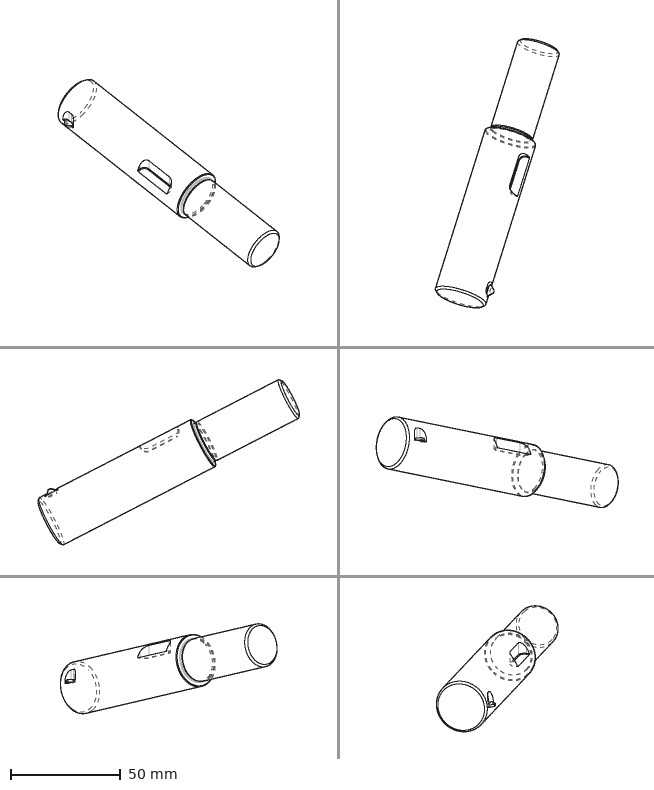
import cadquery as cq

total_length = 125.0
body_length = 80.0
body_radius = 24.2 / 2
body_front_chamfer = 1.0
body_rear_chamfer = 0.4

shank_radius = 20.0 / 2
shank_chamfer = 1.0
relief_radius = 19.6 / 2
relief_length = 1.8
relief_root_radius = 0.4
relief_taper_length = 0.5

corner_radius = 3.0
pocket_mouth_y = -(body_radius + 2.5)

long_center_x = 62.5
long_length = 19.5
long_back_y = -7.0
long_floor_z = 3.9
long_floor_chamfer = 0.4

chip_center_x = 7.5
chip_length = 7.8
chip_back_y = -10.6
chip_floor_z = -0.4

tooth_tip_y = body_radius - 26.0
tooth_root_y = -11.0
tooth_tip_width = 1.2
tooth_max_width = 5.5
tooth_thickness = 1.1


def make_shaft():
    """Stepped cylinder along X with chamfered ends and a relief behind the shoulder."""
    shank_start = body_length + relief_length
    return (
        cq.Workplane("XY")
        .moveTo(0, 0)
        .lineTo(0, body_radius - body_front_chamfer)
        .lineTo(body_front_chamfer, body_radius)
        .lineTo(body_length - body_rear_chamfer, body_radius)
        .lineTo(body_length, body_radius - body_rear_chamfer)
        .lineTo(body_length, relief_radius + relief_root_radius)
        .radiusArc((body_length + relief_root_radius, relief_radius), -relief_root_radius)
        .lineTo(shank_start - relief_taper_length, relief_radius)
        .lineTo(shank_start, shank_radius)
        .lineTo(total_length - shank_chamfer, shank_radius)
        .lineTo(total_length, shank_radius - shank_chamfer)
        .lineTo(total_length, 0)
        .close()
        .revolve(360, (0, 0, 0), (1, 0, 0))
    )


def make_pocket(center_x, length, back_y, floor_z):
    """Cutting volume with rounded back corners, rising from its floor past the body top."""
    depth = back_y - pocket_mouth_y
    return (
        cq.Workplane("XY", origin=(center_x, back_y - depth / 2, floor_z))
        .rect(length, depth)
        .extrude(body_radius - floor_z)
        .edges("|Z and >Y")
        .fillet(corner_radius)
    )


def make_tooth():
    """Trapezoidal cutting plate, centred on the shaft axis height, with a buried root."""
    half_tip = tooth_tip_width / 2
    half_max = tooth_max_width / 2
    flank_end_y = tooth_tip_y + half_max - half_tip
    half_root = half_max - (tooth_root_y - flank_end_y)
    return (
        cq.Workplane("XY", origin=(chip_center_x, 0, -tooth_thickness / 2))
        .moveTo(-half_tip, tooth_tip_y)
        .lineTo(half_tip, tooth_tip_y)
        .lineTo(half_max, flank_end_y)
        .lineTo(half_root, tooth_root_y)
        .lineTo(-half_root, tooth_root_y)
        .lineTo(-half_max, flank_end_y)
        .close()
        .extrude(tooth_thickness)
    )


long_pocket = make_pocket(long_center_x, long_length, long_back_y, long_floor_z)
long_pocket = long_pocket.faces("<Z").edges("not <Y").chamfer(long_floor_chamfer)
chip_pocket = make_pocket(chip_center_x, chip_length, chip_back_y, chip_floor_z)

result = make_shaft().cut(long_pocket).cut(chip_pocket).union(make_tooth())